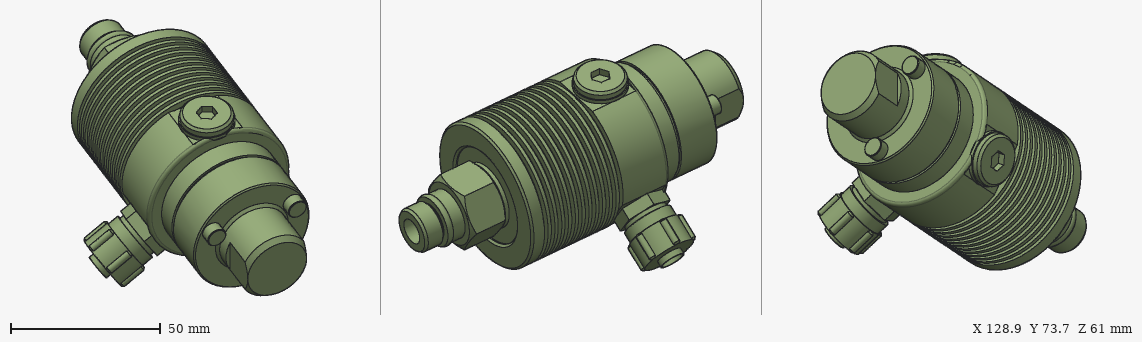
import cadquery as cq
import math

LENGTH = 128.9

SPIGOT_DIA = 16.0
SPIGOT_LENGTH = 7.1
SPIGOT_TIP_DIA = 14.7
SPIGOT_TIP_CHAMFER = 1.0
NECK_DIA = 13.5
NECK_START = 8.1
SEAL_START = 8.4
SEAL_END = 10.7
SEAL_DIA = 19.0
SHOULDER_DIA = 18.0
HEX_START = 15.5
HEX_END = 30.0
HEX_FLATS = 23.8
HEX_CHAMFER_DIA = 23.0
HEX_CHAMFER_ANGLE = 30.0
ROTOR_BORE_DIA = 9.0

HOUSING_START = 30.3
BARREL_DIA = 53.5
FLANGE_END = 35.5
FLANGE_CHAMFER = 0.8
GROOVE_COUNT = 12
GROOVE_PITCH = 2.81
GROOVE_WIDTH = 1.48
GROOVE_ROOT_DIA = 48.3
FINS_END = FLANGE_END + (GROOVE_COUNT - 1) * GROOVE_PITCH + GROOVE_WIDTH
BARREL_END = 87.0
BARREL_ROUND = 1.3
RECESS_DIA = 35.3
RECESS_CHAMFER = 0.8
RECESS_DEPTH = 1.3
RECESS_FLOOR = HOUSING_START + RECESS_DEPTH

PORT_X = 77.8
PORT_FLAT_WIDTH = 18.5
PORT_FLAT_RADIUS = math.sqrt((BARREL_DIA / 2) ** 2 - (PORT_FLAT_WIDTH / 2) ** 2)
PORT_FLAT_END = BARREL_END - BARREL_ROUND
PORT_COUNT = 3
PORT_SPACING = 360.0 / PORT_COUNT
FITTING_PORT = 1
PLUG_PORTS = (0, 2)

CAP_DIA = 43.5
CAP_END = 110.5
CAP_CHAMFER = 0.5
JOINT_START = 94.5
JOINT_WIDTH = 1.0
JOINT_DEPTH = 0.8

STUB_DIA = 25.4
STUB_ROUND = 1.0
STUB_FLATS = 22.2
STUB_FLATS_START = 116.1
STUB_CHAMFER = 1.9

SCREW_COUNT = 3
SCREW_DIA = 6.8
SCREW_CIRCLE_RADIUS = 17.5
SCREW_HEAD = 4.0
SCREW_CHAMFER = 0.3

PLUG_BASE_DIA = 19.0
PLUG_BASE_HEIGHT = 1.4
PLUG_DIA = 18.0
PLUG_HEIGHT = 4.3
PLUG_CHAMFER = 0.9
SOCKET_FLATS = 6.0
SOCKET_DEPTH = 2.6

FITTING_HEX_FLATS = 17.0
FITTING_HEX_END = 29.5
FITTING_NECK_DIA = 16.0
COLLAR_START = 31.2
COLLAR_DIA = 18.0
NUT_START = 35.3
NUT_END = 45.2
NUT_DIA = 19.0
RIB_COUNT = 6
RIB_DIA = 2.7
RIB_TIP_RADIUS = 10.7
RIB_CHAMFER = 0.6
TUBE_END = 47.4
TUBE_DIA = 9.0
TUBE_BORE_DIA = 8.0


def x_plane(x):
    """Plane across the main axis: local x is Y, local y is Z, extrusion runs toward +X."""
    return cq.Workplane("YZ", origin=(x, 0, 0))


def revolve_x(points):
    """Solid of revolution about X from (x, radius) points, closed along the axis."""
    outline = [(points[0][0], 0)] + points + [(points[-1][0], 0)]
    return cq.Workplane("XY").polyline(outline).close().revolve(360, (0, 0, 0), (1, 0, 0))


def hexagon_corners(flats):
    """Width across corners of a hexagon with the given width across flats."""
    return flats / math.cos(math.pi / 6)


def disc(start, end, diameter):
    """Cylinder along Z between two heights."""
    return cq.Workplane("XY", origin=(0, 0, start)).circle(diameter / 2).extrude(end - start)


def place_at_port(shape, port):
    """Move a shape built along Z from the housing axis to one of the three ports."""
    return shape.translate((PORT_X, 0, 0)).rotate((0, 0, 0), (1, 0, 0), port * PORT_SPACING)


def make_rotor_hexagon():
    length = HEX_END - HEX_START
    corners = hexagon_corners(HEX_FLATS)
    corner_radius = corners / 2
    face_radius = HEX_CHAMFER_DIA / 2
    chamfer = (corner_radius - face_radius) * math.tan(math.radians(HEX_CHAMFER_ANGLE))
    hexagon = x_plane(HEX_START).polygon(6, corners).extrude(length)
    envelope = revolve_x([
        (HEX_START, face_radius),
        (HEX_START + chamfer, corner_radius),
        (HEX_END - chamfer, corner_radius),
        (HEX_END, face_radius),
    ])
    return hexagon.intersect(envelope)


def make_rotor():
    spigot = revolve_x([
        (0, SPIGOT_TIP_DIA / 2),
        (SPIGOT_TIP_CHAMFER, SPIGOT_DIA / 2),
        (SPIGOT_LENGTH, SPIGOT_DIA / 2),
        (NECK_START, NECK_DIA / 2),
        (SEAL_START, NECK_DIA / 2),
        (SEAL_START, SHOULDER_DIA / 2),
        (HEX_START, SHOULDER_DIA / 2),
    ])
    seal_middle = (SEAL_START + SEAL_END) / 2
    seal = (
        cq.Workplane("XY")
        .moveTo(SEAL_START, 0)
        .lineTo(SEAL_START, SHOULDER_DIA / 2)
        .threePointArc((seal_middle, SEAL_DIA / 2), (SEAL_END, SHOULDER_DIA / 2))
        .lineTo(SEAL_END, 0)
        .close()
        .revolve(360, (0, 0, 0), (1, 0, 0))
    )
    collar = x_plane(HEX_END).circle(HEX_FLATS / 2).extrude(RECESS_FLOOR - HEX_END)
    bore = x_plane(0).circle(ROTOR_BORE_DIA / 2).extrude(RECESS_FLOOR)
    return spigot.union(seal).union(make_rotor_hexagon()).union(collar).cut(bore)


def make_barrel():
    barrel = x_plane(HOUSING_START).circle(BARREL_DIA / 2).extrude(BARREL_END - HOUSING_START)
    barrel = barrel.faces("<X").chamfer(FLANGE_CHAMFER).faces(">X").edges().fillet(BARREL_ROUND)
    for index in range(GROOVE_COUNT):
        start = FLANGE_END + index * GROOVE_PITCH
        groove = x_plane(start).circle(BARREL_DIA).circle(GROOVE_ROOT_DIA / 2).extrude(GROOVE_WIDTH)
        barrel = barrel.cut(groove)
    recess_radius = RECESS_DIA / 2
    recess = revolve_x([
        (HOUSING_START, recess_radius + RECESS_CHAMFER),
        (HOUSING_START + RECESS_CHAMFER, recess_radius),
        (RECESS_FLOOR, recess_radius),
    ])
    return barrel.cut(recess)


def make_port_flat_cutter():
    length = PORT_FLAT_END - FINS_END
    return (
        cq.Workplane("XY", origin=(FINS_END + length / 2 - PORT_X, 0, PORT_FLAT_RADIUS))
        .rect(length, BARREL_DIA)
        .extrude(BARREL_DIA)
    )


def make_cap():
    radius = CAP_DIA / 2
    joint_end = JOINT_START + JOINT_WIDTH
    return revolve_x([
        (BARREL_END, radius),
        (JOINT_START, radius),
        (JOINT_START, radius - JOINT_DEPTH),
        (joint_end, radius - JOINT_DEPTH),
        (joint_end, radius),
        (CAP_END - CAP_CHAMFER, radius),
        (CAP_END, radius - CAP_CHAMFER),
    ])


def make_stub():
    radius = STUB_DIA / 2
    stub = revolve_x([
        (CAP_END, radius + STUB_ROUND),
        (CAP_END + STUB_ROUND, radius),
        (LENGTH - STUB_CHAMFER, radius),
        (LENGTH, STUB_FLATS / 2),
    ])
    for side in (-1, 1):
        cutter = (
            x_plane(STUB_FLATS_START)
            .center(side * (STUB_FLATS + STUB_DIA) / 2, 0)
            .rect(STUB_DIA, STUB_DIA)
            .extrude(LENGTH - STUB_FLATS_START)
        )
        stub = stub.cut(cutter)
    return stub


def make_screw_heads():
    return (
        x_plane(CAP_END)
        .polarArray(SCREW_CIRCLE_RADIUS, -90, 360, SCREW_COUNT)
        .circle(SCREW_DIA / 2)
        .extrude(SCREW_HEAD)
        .faces(">X")
        .chamfer(SCREW_CHAMFER)
    )


def make_plug():
    base_end = PORT_FLAT_RADIUS + PLUG_BASE_HEIGHT
    top = PORT_FLAT_RADIUS + PLUG_HEIGHT
    head = disc(base_end, top, PLUG_DIA).faces(">Z").chamfer(PLUG_CHAMFER)
    socket = (
        cq.Workplane("XY", origin=(0, 0, top - SOCKET_DEPTH))
        .polygon(6, hexagon_corners(SOCKET_FLATS))
        .extrude(SOCKET_DEPTH)
    )
    return disc(PORT_FLAT_RADIUS, base_end, PLUG_BASE_DIA).union(head).cut(socket)


def make_fitting():
    hexagon = (
        cq.Workplane("XY", origin=(0, 0, PORT_FLAT_RADIUS))
        .transformed(rotate=(0, 0, 90))
        .polygon(6, hexagon_corners(FITTING_HEX_FLATS))
        .extrude(FITTING_HEX_END - PORT_FLAT_RADIUS)
    )
    neck = disc(FITTING_HEX_END, COLLAR_START, FITTING_NECK_DIA)
    collar = disc(COLLAR_START, NUT_START, COLLAR_DIA)
    nut = disc(NUT_START, NUT_END, NUT_DIA)
    tube = disc(NUT_END, TUBE_END, TUBE_DIA)
    bore = disc(NUT_START, TUBE_END, TUBE_BORE_DIA)
    ribs = (
        cq.Workplane("XY", origin=(0, 0, NUT_START))
        .polarArray(RIB_TIP_RADIUS - RIB_DIA / 2, 90, 360, RIB_COUNT)
        .circle(RIB_DIA / 2)
        .extrude(NUT_END - NUT_START)
        .faces("<Z or >Z")
        .chamfer(RIB_CHAMFER)
    )
    return hexagon.union(neck).union(collar).union(nut).union(ribs).union(tube).cut(bore)


def make_housing():
    housing = make_barrel()
    for port in range(PORT_COUNT):
        housing = housing.cut(place_at_port(make_port_flat_cutter(), port))
    housing = housing.union(make_cap()).union(make_stub()).union(make_screw_heads())
    for port in PLUG_PORTS:
        housing = housing.union(place_at_port(make_plug(), port))
    return housing.union(place_at_port(make_fitting(), FITTING_PORT))


rotor = make_rotor()
housing = make_housing()
result = cq.Compound.makeCompound([rotor.val(), housing.val()])